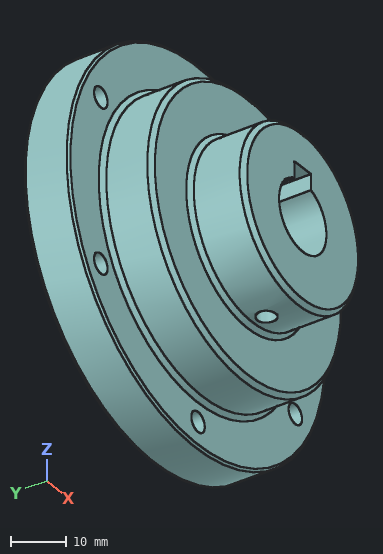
import cadquery as cq

flange_thickness = 10.0
shoulder_length = 11.0
hub_length = 12.0
total_length = flange_thickness + shoulder_length + hub_length

flange_diameter = 81.8
shoulder_diameter = 60.95
hub_diameter = 37.1

flange_chamfer = 0.5
step_chamfer = 1.0
foot_chamfer = 1.0

bore_diameter = 15.0
keyway_width = 5.15
keyway_top = 10.5

bolt_count = 6
bolt_hole_diameter = 4.25
bolt_circle_diameter = 71.1

screw_hole_diameter = 4.0
screw_hole_from_back = 25.0


def cylinder(diameter, start, length):
    """Cylinder on the main axis that runs from depth start towards -Y."""
    plane = cq.Workplane("XZ", origin=(0, -start, 0))
    return plane.circle(diameter / 2).extrude(length)


def step(diameter, start, length):
    """Round step with a chamfered free end and a conical foot."""
    radius = diameter / 2
    end = start + length
    profile = (
        cq.Workplane("XY")
        .moveTo(0, -start)
        .lineTo(radius + foot_chamfer, -start)
        .lineTo(radius, -start - foot_chamfer)
        .lineTo(radius, -end + step_chamfer)
        .lineTo(radius - step_chamfer, -end)
        .lineTo(0, -end)
        .close()
    )
    return profile.revolve(360, (0, 0, 0), (0, 1, 0))


def bore_cutter():
    bore = cylinder(bore_diameter, 0, total_length)
    keyway = cq.Workplane("XY").box(
        keyway_width, total_length, keyway_top, centered=(True, False, False)
    )
    return bore.union(keyway.translate((0, -total_length, 0)))


def bolt_hole_cutter():
    return (
        cq.Workplane("XZ")
        .polarArray(bolt_circle_diameter / 2, 90, 360, bolt_count)
        .circle(bolt_hole_diameter / 2)
        .extrude(flange_thickness)
    )


def screw_hole_cutter():
    return (
        cq.Workplane("XY", origin=(0, -screw_hole_from_back, 0))
        .circle(screw_hole_diameter / 2)
        .extrude(-hub_diameter)
    )


flange = cylinder(flange_diameter, 0, flange_thickness).edges().chamfer(flange_chamfer)
shoulder = step(shoulder_diameter, flange_thickness, shoulder_length)
hub = step(hub_diameter, flange_thickness + shoulder_length, hub_length)

result = (
    flange.union(shoulder)
    .union(hub)
    .cut(bore_cutter())
    .cut(bolt_hole_cutter())
    .cut(screw_hole_cutter())
)